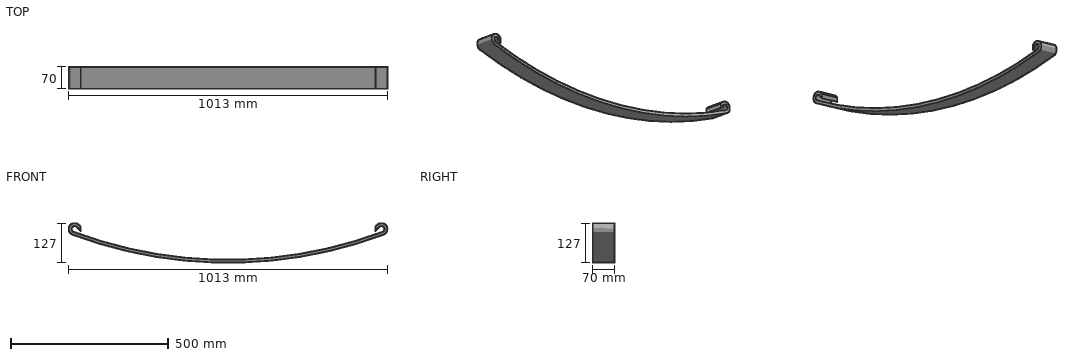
import cadquery as cq
import math

length = 1013.0
width = 70.0
height = 127.0
thickness = 10.0
eye_radius = 19.0
roll_end_angle = 45.0

eye_x = length / 2 - eye_radius
eye_z = height - eye_radius
bore_radius = eye_radius - thickness

leaf_radius = (eye_x**2 + eye_z**2 - eye_radius**2) / (2 * (eye_z - eye_radius))
join_angle = 270 - math.degrees(math.asin(eye_x / (leaf_radius - eye_radius)))


def eye_point(radius, angle, side):
    """Point on an eye; side is -1 for the left eye and 1 for its mirror."""
    a = math.radians(angle)
    return (side * (eye_x - radius * math.cos(a)), eye_z + radius * math.sin(a))


def lip_point(radius, side):
    """Where the tangent leaving the roll meets the upright end face, level with the eye's inner side."""
    x, z = eye_point(radius, roll_end_angle, side)
    run = abs(x) - (eye_x - eye_radius)
    return (side * (eye_x - eye_radius), z - run / math.tan(math.radians(roll_end_angle)))


mid_angle = (roll_end_angle + join_angle) / 2


def outline():
    """Constant-thickness strip, traced along the underside and back along the top."""
    return (
        cq.Workplane("XZ", origin=(0, width / 2, 0))
        .moveTo(*lip_point(eye_radius, -1))
        .lineTo(*eye_point(eye_radius, roll_end_angle, -1))
        .threePointArc(eye_point(eye_radius, mid_angle, -1), eye_point(eye_radius, join_angle, -1))
        .threePointArc((0, 0), eye_point(eye_radius, join_angle, 1))
        .threePointArc(eye_point(eye_radius, mid_angle, 1), eye_point(eye_radius, roll_end_angle, 1))
        .lineTo(*lip_point(eye_radius, 1))
        .lineTo(*lip_point(bore_radius, 1))
        .lineTo(*eye_point(bore_radius, roll_end_angle, 1))
        .threePointArc(eye_point(bore_radius, mid_angle, 1), eye_point(bore_radius, join_angle, 1))
        .threePointArc((0, thickness), eye_point(bore_radius, join_angle, -1))
        .threePointArc(eye_point(bore_radius, mid_angle, -1), eye_point(bore_radius, roll_end_angle, -1))
        .lineTo(*lip_point(bore_radius, -1))
        .close()
    )


result = outline().extrude(width)